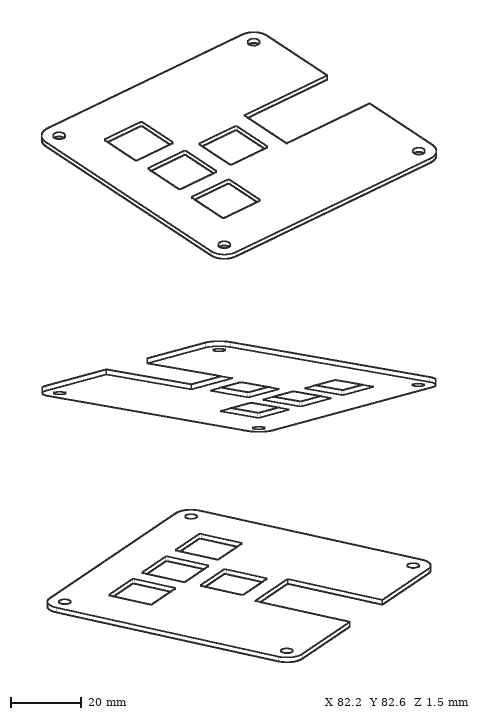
import cadquery as cq

plate_width = 82.2
plate_depth = 82.6
plate_thickness = 1.5
corner_radius = 5.0

mount_hole_diameter = 3.4
mount_spacing_x = plate_width - 2 * corner_radius
mount_spacing_y = plate_depth - 2 * corner_radius

switch_size = 14.0
switch_pitch = 19.05
switch_corner_radius = 0.5
middle_switch_x = -0.25
lower_row_y = -20.925
switch_centers = [
    (middle_switch_x - switch_pitch, lower_row_y),
    (middle_switch_x, lower_row_y),
    (middle_switch_x + switch_pitch, lower_row_y),
    (middle_switch_x, lower_row_y + switch_pitch),
]

notch_width = 18.5
notch_depth = 31.0
notch_center_x = -0.5


def make_plate():
    """Flat plate with rounded corners, resting on Z = 0."""
    plate = cq.Workplane("XY").rect(plate_width, plate_depth).extrude(plate_thickness)
    return plate.edges("|Z").fillet(corner_radius)


def mount_holes():
    """Cylinders for the four corner mounting holes."""
    centers = cq.Workplane("XY").rect(mount_spacing_x, mount_spacing_y, forConstruction=True).vertices()
    return centers.circle(mount_hole_diameter / 2).extrude(plate_thickness)


def switch_opening(center):
    """Square through-opening with slightly rounded corners."""
    opening = cq.Workplane("XY").center(*center).rect(switch_size, switch_size).extrude(plate_thickness)
    return opening.edges("|Z").fillet(switch_corner_radius)


def edge_notch():
    """Rectangular cutter reaching in from the +Y edge."""
    notch_center_y = (plate_depth - notch_depth) / 2
    notch = cq.Workplane("XY").center(notch_center_x, notch_center_y)
    return notch.rect(notch_width, notch_depth).extrude(plate_thickness)


result = make_plate().cut(mount_holes()).cut(edge_notch())
for switch_center in switch_centers:
    result = result.cut(switch_opening(switch_center))